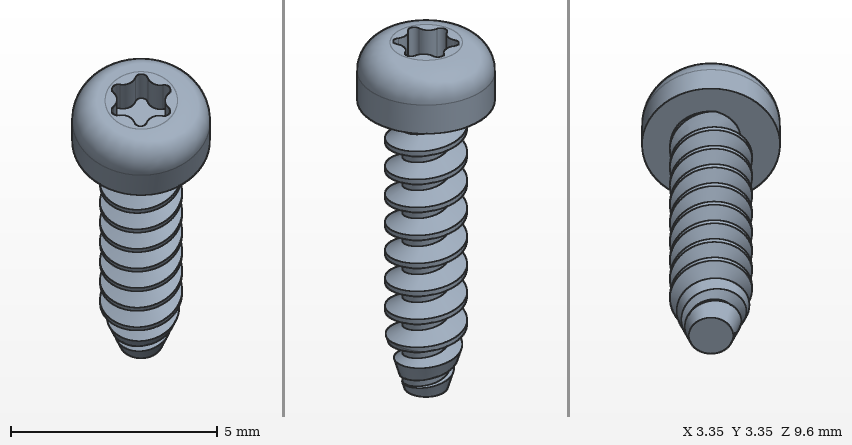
import cadquery as cq
import math

total_length = 9.6
head_diameter = 3.35
head_height = 1.6
dome_radius = 0.8

root_radius = 0.58
crest_radius = 1.0
turn_count = 9
turns_height = 7.03
pitch = turns_height / turn_count
crest_width = 0.13
flank_angle = 30.0
crest_height = 7.32
root_overlap = 0.06
crest_allowance = 0.05
core_overrun = 1.92

tip_radius = 0.54
tip_slope = 0.3

lobe_count = 6
lobe_reach = 0.8
valley_reach = 0.59
lobe_radius = 0.15
recess_depth = 0.96

head_base = total_length - head_height


def polar(radius, degrees):
    """Point at a distance and direction from the axis."""
    angle = math.radians(degrees)
    return (radius * math.cos(angle), radius * math.sin(angle))


def make_head():
    cylinder = cq.Workplane("XY").workplane(offset=head_base).circle(head_diameter / 2).extrude(head_height)
    return cylinder.faces(">Z").edges().fillet(dome_radius)


def make_blank():
    """Unthreaded shank with its conical tip."""
    cone_height = (crest_radius - tip_radius) / tip_slope
    return (
        cq.Workplane("XZ")
        .polyline([
            (0, 0),
            (tip_radius, 0),
            (crest_radius, cone_height),
            (crest_radius, head_base),
            (0, head_base),
        ])
        .close()
        .revolve(360, (0, 0), (0, 1))
    )


def make_thread():
    """Right-handed trapezoidal thread, too tall and too long until trimmed to the blank."""
    flank_slope = math.tan(math.radians(flank_angle))
    inner_radius = root_radius - root_overlap
    outer_radius = crest_radius + crest_allowance
    half_outer = crest_width / 2 - crest_allowance * flank_slope
    half_inner = crest_width / 2 + (crest_radius - inner_radius) * flank_slope

    turns_below = math.ceil(crest_height / pitch)
    start = crest_height - turns_below * pitch
    rise = head_base + pitch / 2 - start
    corners = [
        (inner_radius, start - half_inner),
        (outer_radius, start - half_outer),
        (outer_radius, start + half_outer),
        (inner_radius, start + half_inner),
    ]

    helices = [
        cq.Wire.makeHelix(pitch, rise, radius, center=cq.Vector(0, 0, height))
        for radius, height in corners
    ]
    faces = [
        cq.Face.makeRuledSurface(helices[index - 1], helices[index])
        for index in range(len(helices))
    ]
    for climb in (0, rise):
        turn = 360 * climb / pitch
        section = [cq.Vector(*polar(radius, turn), height + climb) for radius, height in corners]
        faces.append(cq.Face.makeFromWires(cq.Wire.makePolygon(section, close=True)))
    return cq.Workplane(obj=cq.Solid.makeSolid(cq.Shell.makeShell(faces)))


def make_shank():
    """Core and thread joined overlong, then trimmed to the blank."""
    core = (
        cq.Workplane("XY")
        .workplane(offset=-core_overrun)
        .circle(root_radius)
        .extrude(head_base + 2 * core_overrun)
    )
    blank = make_blank().rotate((0, 0, 0), (0, 0, 1), 90)
    core = core.rotate((0, 0, 0), (0, 0, 1), 90)
    return core.union(make_thread()).intersect(blank)


def make_recess():
    """Drive recess whose lobe arcs run tangent into the arcs between them."""
    step = 360 / lobe_count
    lobe_centre = lobe_reach - lobe_radius
    along = lobe_centre * math.cos(math.radians(step / 2))
    valley_radius = (
        (lobe_centre**2 + valley_reach**2 - 2 * along * valley_reach - lobe_radius**2)
        / (2 * (lobe_radius + along - valley_reach))
    )
    valley_centre = valley_reach + valley_radius
    share = lobe_radius / (lobe_radius + valley_radius)
    valley_x, valley_y = polar(valley_centre, step / 2)
    touch_x = lobe_centre + share * (valley_x - lobe_centre)
    touch_y = share * valley_y
    touch_distance = math.hypot(touch_x, touch_y)
    touch_angle = math.degrees(math.atan2(touch_y, touch_x))

    first_lobe = 90.0
    outline = cq.Workplane("XY").workplane(offset=total_length)
    outline = outline.moveTo(*polar(touch_distance, first_lobe - touch_angle))
    for index in range(lobe_count):
        lobe = first_lobe + index * step
        outline = outline.threePointArc(polar(lobe_reach, lobe), polar(touch_distance, lobe + touch_angle))
        outline = outline.threePointArc(
            polar(valley_reach, lobe + step / 2),
            polar(touch_distance, lobe + step - touch_angle),
        )
    return outline.close().extrude(-recess_depth)


result = make_head().union(make_shank()).cut(make_recess())